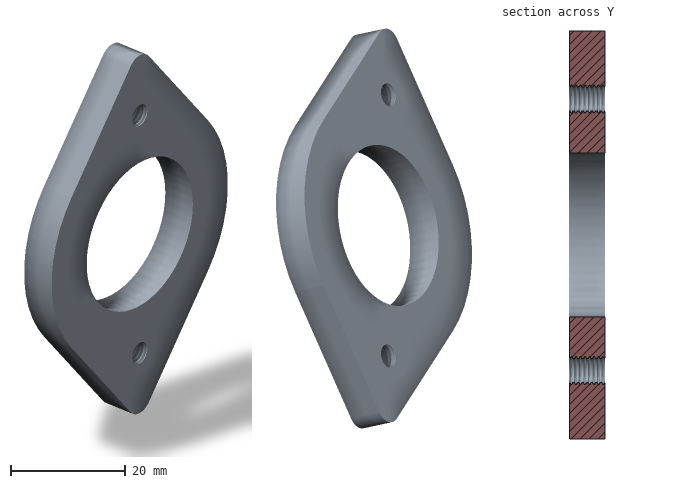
import cadquery as cq
import math

thickness = 6.35
body_radius = 23.8125
overall_height = 71.64
tip_radius = 3.175
bore_diameter = 28.7
hole_offset = 23.8125

thread_crest_diameter = 4.1
thread_root_diameter = 4.826
thread_pitch = 25.4 / 32
thread_half_angle = math.radians(30)
groove_overlap = 0.05

tip_centre = overall_height / 2 - tip_radius
normal_z = (body_radius - tip_radius) / tip_centre
normal_y = math.sqrt(1 - normal_z**2)

body_y = body_radius * normal_y
body_z = body_radius * normal_z
tip_y = tip_radius * normal_y
tip_z = tip_centre + tip_radius * normal_z

crest_radius = thread_crest_diameter / 2
root_radius = thread_root_diameter / 2
root_half_width = thread_pitch / 16
mouth_half_width = root_half_width + (root_radius - crest_radius) * math.tan(thread_half_angle)
groove_count = round(thickness / thread_pitch)


def make_plate():
    """Rounded diamond in the YZ plane, extruded along X and centred on it."""
    outline = (
        cq.Workplane("YZ")
        .moveTo(body_y, -body_z)
        .threePointArc((body_radius, 0), (body_y, body_z))
        .lineTo(tip_y, tip_z)
        .threePointArc((0, overall_height / 2), (-tip_y, tip_z))
        .lineTo(-body_y, body_z)
        .threePointArc((-body_radius, 0), (-body_y, -body_z))
        .lineTo(-tip_y, -tip_z)
        .threePointArc((0, -overall_height / 2), (tip_y, -tip_z))
        .close()
    )
    return outline.extrude(thickness / 2, both=True)


def make_hole(diameter, height):
    """Cylinder along X through the full thickness, at the given Z."""
    profile = cq.Workplane("YZ").center(0, height).circle(diameter / 2)
    return profile.extrude(thickness / 2, both=True)


def make_groove(x, height):
    """Ring cutter around a hole axis, centred at the given X and Z."""
    inner_radius = crest_radius - groove_overlap
    section = (
        cq.Workplane("XY")
        .moveTo(-mouth_half_width, inner_radius)
        .lineTo(-mouth_half_width, crest_radius)
        .lineTo(-root_half_width, root_radius)
        .lineTo(root_half_width, root_radius)
        .lineTo(mouth_half_width, crest_radius)
        .lineTo(mouth_half_width, inner_radius)
        .close()
    )
    ring = section.revolve(360, (0, 0, 0), (1, 0, 0))
    return ring.translate((x, 0, height))


def cut_threaded_hole(part, height):
    """Through hole whose thread is modelled as evenly pitched ring grooves."""
    part = part.cut(make_hole(thread_crest_diameter, height))
    for index in range(groove_count):
        x = (index - (groove_count - 1) / 2) * thread_pitch
        part = part.cut(make_groove(x, height))
    return part


result = make_plate().cut(make_hole(bore_diameter, 0))
for side in (1, -1):
    result = cut_threaded_hole(result, side * hole_offset)